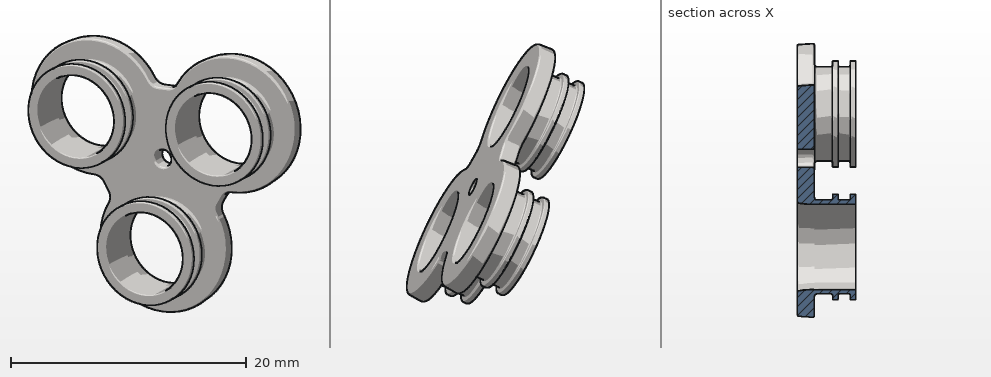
import cadquery as cq
import math

lobe_spacing = 13.0
lobe_radius = 6.0
web_edge_distance = 6.25
web_corner_radius = 1.0
web_turn = 120
web_count = 3

plate_thickness = 1.5
plate_draft = 4.0
edge_fillet = 0.2
centre_hole_diameter = 1.5

post_height = 3.5
post_diameter = 8.0
bore_diameter = 7.2
ring_diameter = 9.0
ring_width = 0.5
ring_pitch = 1.5
ring_count = 2
ring_fillet = 0.1

lobe_offset = lobe_spacing / math.sqrt(3)
lobe_line_distance = lobe_offset / 2
total_depth = post_height + plate_thickness
lobe_centres = [
    (-lobe_spacing / 2, lobe_line_distance),
    (lobe_spacing / 2, lobe_line_distance),
    (0, -lobe_offset),
]


def xz_plane(y):
    """Workplane at depth y whose local axes are X and Z and whose normal is -Y."""
    return cq.Workplane("XZ", origin=(0, y, 0))


def turned(point, angle):
    """Point turned about the centre of the part by an angle in degrees."""
    x, z = point
    cosine = math.cos(math.radians(angle))
    sine = math.sin(math.radians(angle))
    return (x * cosine - z * sine, x * sine + z * cosine)


def rims_at(centres, y):
    """Selector for the full circles about the given centres at depth y."""
    margin = 0.02
    boxes = [
        cq.selectors.BoxSelector((x - margin, y - margin, z - margin), (x + margin, y + margin, z + margin))
        for x, z in centres
    ]
    selector = boxes[0]
    for box in boxes[1:]:
        selector = selector + box
    return selector


def make_plate():
    """Three-lobed plate with a drafted side wall and rounded rims."""
    corner_z = web_edge_distance + web_corner_radius
    centre_gap = lobe_radius + web_corner_radius
    reach = math.sqrt(centre_gap**2 - (corner_z - lobe_line_distance) ** 2)
    corner_x = lobe_spacing / 2 - reach
    touch_angle = math.atan2(lobe_line_distance - corner_z, reach)
    middle_angle = (touch_angle - math.pi / 2) / 2

    def corner_point(angle):
        x = corner_x + web_corner_radius * math.cos(angle)
        return (x, corner_z + web_corner_radius * math.sin(angle))

    right_side = [corner_point(touch_angle), corner_point(middle_angle), (corner_x, web_edge_distance)]
    left_side = [(-x, z) for x, z in reversed(right_side)]
    lobe_tip = turned((0, lobe_offset + lobe_radius), web_turn / 2)

    outline = xz_plane(post_height).moveTo(*right_side[0])
    for index in range(web_count):
        angle = index * web_turn
        right_middle, right_end, left_start, left_middle, left_end = (
            turned(point, angle) for point in right_side[1:] + left_side
        )
        next_web = turned(right_side[0], angle + web_turn)
        outline = (
            outline.threePointArc(right_middle, right_end)
            .lineTo(*left_start)
            .threePointArc(left_middle, left_end)
            .threePointArc(turned(lobe_tip, angle), next_web)
        )
    plate = outline.close().extrude(-plate_thickness, taper=plate_draft)
    return plate.faces("<Y or >Y").edges().fillet(edge_fillet)


def lobe_circles(y, diameter):
    """One circle of the given diameter on each lobe centre at depth y."""
    return xz_plane(y).pushPoints(lobe_centres).circle(diameter / 2)


def make_posts():
    """Solid posts with their rings, rounded at every ring edge and root."""
    posts = lobe_circles(post_height, post_diameter).extrude(post_height)
    ring_rims = []
    for index in range(ring_count):
        ring_front = index * ring_pitch
        ring_back = ring_front + ring_width
        posts = posts.union(lobe_circles(ring_back, ring_diameter).extrude(ring_width))
        ring_rims += [ring_front, ring_back]
    for y in ring_rims:
        posts = posts.edges(rims_at(lobe_centres, y)).fillet(ring_fillet)
    return posts


def round_post_roots(body):
    """Fillet where each post meets the front of the plate."""
    return body.edges(rims_at(lobe_centres, post_height)).fillet(edge_fillet)


def cut_bores(body):
    """Bore each post straight, then flare it through the plate; round both rims."""
    body = body.cut(lobe_circles(post_height, bore_diameter).extrude(post_height))
    body = body.cut(lobe_circles(post_height, bore_diameter).extrude(-plate_thickness, taper=-plate_draft))
    body = body.faces("<Y").edges(cq.selectors.RadiusNthSelector(0)).fillet(ring_fillet)
    return body.edges(rims_at(lobe_centres, total_depth)).fillet(edge_fillet)


def cut_centre_hole(body):
    """Through hole at the centre of the plate with a rounded front rim."""
    hole = xz_plane(total_depth).circle(centre_hole_diameter / 2).extrude(plate_thickness)
    return body.cut(hole).edges(rims_at([(0, 0)], post_height)).fillet(edge_fillet)


body = make_plate().union(make_posts())
body = round_post_roots(body)
body = cut_bores(body)
result = cut_centre_hole(body)